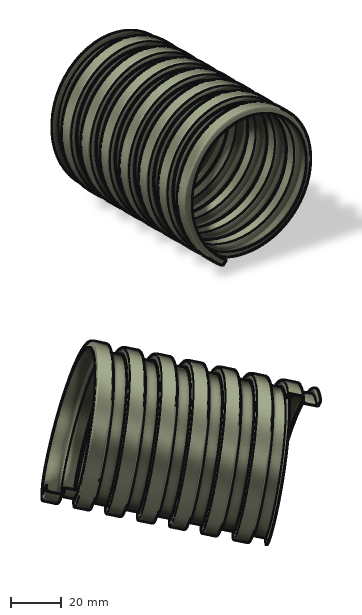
import cadquery as cq
import math

length = 100.0
outer_radius = 33.0
inner_radius = 29.5
turns = 6 + 2 / 3

thickness = 0.35
edge_gap = 0.35
wall_gap = 0.02
wall_angle = 10.0
tight_bend = 0.5
wide_bend = tight_bend + thickness

groove_radius = inner_radius + thickness
crest_inner_radius = outer_radius - thickness
lip_tip_radius = crest_inner_radius - edge_gap
skirt_end_radius = groove_radius + edge_gap
middle_radius = (outer_radius + inner_radius) / 2

lean = math.tan(math.radians(wall_angle))
wall_width = thickness / math.cos(math.radians(wall_angle))
gap_width = wall_gap / math.cos(math.radians(wall_angle))

overlap = (lip_tip_radius - skirt_end_radius) * lean + 2 * wall_width + gap_width
pitch = (length - overlap) / (turns + 1)
strip_width = pitch + overlap


def lip(radius):
    """Axial place of the lip's left face at a radius."""
    return (lip_tip_radius - radius) * lean


def riser(radius):
    """Axial place of the left face of the wall from groove to crest."""
    return (strip_width - wall_width) / 2 + (radius - middle_radius) * lean


def skirt(radius):
    """Axial place of the left face of the wall that hangs from the crest."""
    return strip_width - wall_width - (radius - skirt_end_radius) * lean


def strip_section():
    """Section of the strip in the XZ plane: X is the radius, Z runs along the hose axis."""
    outline = [
        (lip_tip_radius, lip(lip_tip_radius)),
        (inner_radius, lip(inner_radius)),
        (inner_radius, riser(inner_radius) + wall_width),
        (crest_inner_radius, riser(crest_inner_radius) + wall_width),
        (crest_inner_radius, skirt(crest_inner_radius)),
        (skirt_end_radius, skirt(skirt_end_radius)),
        (skirt_end_radius, skirt(skirt_end_radius) + wall_width),
        (outer_radius, skirt(outer_radius) + wall_width),
        (outer_radius, riser(outer_radius)),
        (groove_radius, riser(groove_radius)),
        (groove_radius, lip(groove_radius) + wall_width),
        (lip_tip_radius, lip(lip_tip_radius) + wall_width),
    ]
    corners = [cq.Vector(radius, 0, place) for radius, place in outline]
    section = cq.Face.makeFromWires(cq.Wire.makePolygon(corners, close=True))
    section = round_corners(section, tight_bend, (groove_radius, crest_inner_radius))
    return round_corners(section, wide_bend, (inner_radius, outer_radius))


def round_corners(section, bend_radius, at_radii):
    """Round the section's corners that lie at the given distances from the hose axis."""
    corners = [
        corner
        for corner in section.Vertices()
        if any(math.isclose(corner.X, radius, abs_tol=1e-06) for radius in at_radii)
    ]
    return section.fillet2D(bend_radius, corners)


helix = cq.Wire.makeHelix(pitch, pitch * turns, inner_radius)
strip = cq.Solid.sweep(strip_section().outerWire(), [], helix, isFrenet=True)

result = cq.Workplane(strip).rotate((0, 0, 0), (1, 1, 1), 120)